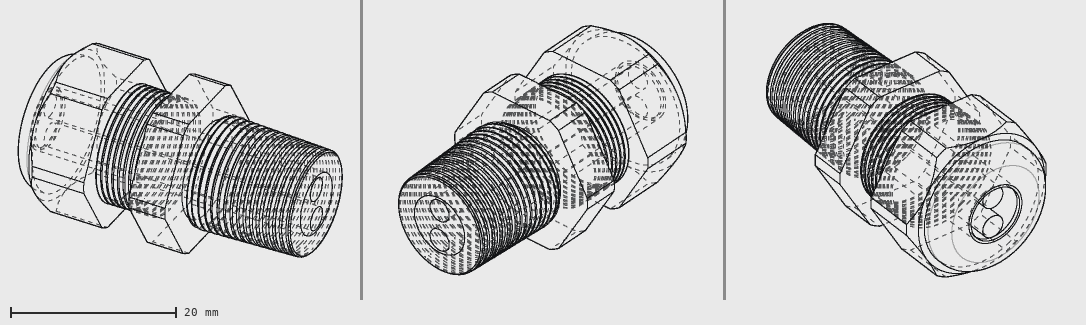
import cadquery as cq
import math

OVERALL_LENGTH = 37.08

DOME_RADIUS = 8.65
DOME_ROUNDING = 2.05
DOME_END = 2.78
HEX_ACROSS_FLATS = 19.05
HEX_CORNER_DIAMETER = 21.15
CAP_HEX_END = 10.9
BODY_HEX_START = 17.1
BODY_HEX_END = 22.05

CLAMP_FIRST_GROOVE = 11.27
CLAMP_LAST_GROOVE = 16.65
CLAMP_GROOVE_COUNT = 8
CLAMP_ROOT_RADIUS = 7.05
CLAMP_START_RADIUS = 7.55
CLAMP_END_RADIUS = 7.45

MOUNT_FIRST_GROOVE = 23.45
MOUNT_LAST_GROOVE = 36.75
MOUNT_GROOVE_COUNT = 16
MOUNT_ROOT_RADIUS = 6.5
MOUNT_START_RADIUS = 7.2
MOUNT_END_RADIUS = 6.75
MOUNT_END_CHAMFER = 0.22
NECK_RADIUS = 6.3
NECK_END = 23.1
NECK_END_RADIUS = 6.9

THREAD_HALF_ANGLE = 30.0

INSERT_RADIUS = 4.0
RECESS_RADIUS = 3.67
RECESS_DEPTH = 0.52
CABLE_HOLE_RADIUS = 1.52
CABLE_HOLE_OFFSET = RECESS_RADIUS - CABLE_HOLE_RADIUS


def revolve_about_x(profile):
    return profile.close().revolve(360, (0, 0, 0), (1, 0, 0))


def cylinder_x(radius, start, end):
    return cq.Workplane("YZ", origin=(start, 0, 0)).circle(radius).extrude(end - start)


def rounded_hex(start, end):
    """Hexagon with flats facing +Z and -Z, its corners turned to a cylinder."""
    across_corners = HEX_ACROSS_FLATS / math.cos(math.pi / 6)
    prism = cq.Workplane("YZ", origin=(start, 0, 0)).polygon(6, across_corners).extrude(end - start)
    return prism.intersect(cylinder_x(HEX_CORNER_DIAMETER / 2, start, end))


def make_dome():
    face_radius = DOME_RADIUS - DOME_ROUNDING
    profile = (
        cq.Workplane("XY")
        .lineTo(0, face_radius)
        .radiusArc((DOME_ROUNDING, DOME_RADIUS), DOME_ROUNDING)
        .lineTo(DOME_END, DOME_RADIUS)
        .lineTo(DOME_END, 0)
    )
    return revolve_about_x(profile)


def make_cap_hex():
    """Front hexagon, its front corners cut by a 45 degree cone."""
    inner_radius = HEX_ACROSS_FLATS / 2
    outer_radius = HEX_CORNER_DIAMETER / 2
    cone_profile = (
        cq.Workplane("XY")
        .moveTo(DOME_END, 0)
        .lineTo(DOME_END, inner_radius)
        .lineTo(DOME_END + outer_radius - inner_radius, outer_radius)
        .lineTo(CAP_HEX_END, outer_radius)
        .lineTo(CAP_HEX_END, 0)
    )
    return rounded_hex(DOME_END, CAP_HEX_END).intersect(revolve_about_x(cone_profile))


def cut_thread_grooves(blank, first_groove, last_groove, count, root_radius):
    """Cut evenly spaced V-shaped ring grooves into a thread blank."""
    pitch = (last_groove - first_groove) / (count - 1)
    groove_height = pitch / math.tan(math.radians(THREAD_HALF_ANGLE))
    for index in range(count):
        center = first_groove + index * pitch
        groove_profile = (
            cq.Workplane("XY")
            .moveTo(center, root_radius)
            .lineTo(center - pitch, root_radius + groove_height)
            .lineTo(center + pitch, root_radius + groove_height)
        )
        blank = blank.cut(revolve_about_x(groove_profile))
    return blank


def make_clamp_thread():
    profile = (
        cq.Workplane("XY")
        .moveTo(CAP_HEX_END, 0)
        .lineTo(CAP_HEX_END, CLAMP_START_RADIUS)
        .lineTo(BODY_HEX_START, CLAMP_END_RADIUS)
        .lineTo(BODY_HEX_START, 0)
    )
    blank = revolve_about_x(profile)
    return cut_thread_grooves(
        blank, CLAMP_FIRST_GROOVE, CLAMP_LAST_GROOVE, CLAMP_GROOVE_COUNT, CLAMP_ROOT_RADIUS
    )


def make_mount_thread():
    """Tapered thread behind a neck that flares out in a concave arc."""
    neck_rise = NECK_END_RADIUS - NECK_RADIUS
    neck_run = NECK_END - BODY_HEX_END
    neck_arc_radius = (neck_run**2 + neck_rise**2) / (2 * neck_rise)
    profile = (
        cq.Workplane("XY")
        .moveTo(BODY_HEX_END, 0)
        .lineTo(BODY_HEX_END, NECK_RADIUS)
        .radiusArc((NECK_END, NECK_END_RADIUS), -neck_arc_radius)
        .lineTo(NECK_END, MOUNT_START_RADIUS)
        .lineTo(OVERALL_LENGTH - MOUNT_END_CHAMFER, MOUNT_END_RADIUS)
        .lineTo(OVERALL_LENGTH, MOUNT_END_RADIUS - MOUNT_END_CHAMFER)
        .lineTo(OVERALL_LENGTH, 0)
    )
    blank = revolve_about_x(profile)
    return cut_thread_grooves(
        blank, MOUNT_FIRST_GROOVE, MOUNT_LAST_GROOVE, MOUNT_GROOVE_COUNT, MOUNT_ROOT_RADIUS
    )


def make_gland():
    """Cap, hexagons and threads in one solid with a straight bore."""
    gland = (
        make_dome()
        .union(make_cap_hex())
        .union(make_clamp_thread())
        .union(rounded_hex(BODY_HEX_START, BODY_HEX_END))
        .union(make_mount_thread())
    )
    return gland.cut(cylinder_x(INSERT_RADIUS, 0, OVERALL_LENGTH))


def make_insert():
    """Plug with a shallow front recess and two cable holes along its length."""
    insert = cylinder_x(INSERT_RADIUS, 0, OVERALL_LENGTH)
    insert = insert.cut(cylinder_x(RECESS_RADIUS, 0, RECESS_DEPTH))
    for side in (-1, 1):
        hole = cylinder_x(CABLE_HOLE_RADIUS, 0, OVERALL_LENGTH)
        insert = insert.cut(hole.translate((0, 0, side * CABLE_HOLE_OFFSET)))
    return insert


gland = make_gland()
insert = make_insert()

result = cq.Compound.makeCompound([gland.val(), insert.val()])